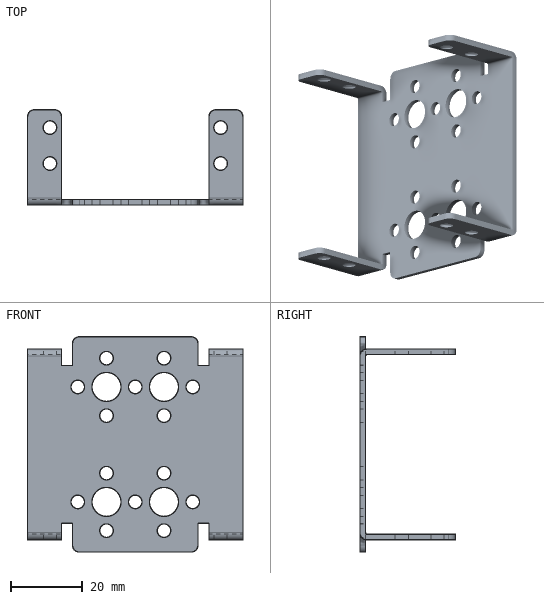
import cadquery as cq

thickness = 1.6
inner_bend_radius = 0.4
outer_bend_radius = inner_bend_radius + thickness
corner_radius = 2.0

plate_width = 60.0
plate_height = 60.0
tongue_width = 35.0

flange_width = 9.5
flange_reach = 26.6
flange_span = 53.16
relief_bottom = 22.0

screw_diameter = 3.7
centre_diameter = 8.0
screw_offset = 8.0
pattern_spacing_x = 16.0
pattern_spacing_z = 32.0

flange_hole_inset = 6.25
flange_hole_end_distance = 5.0
flange_hole_pitch = 10.0


def make_block(start_y, height):
    """Full-width block from start_y to the flange ends."""
    return (
        cq.Workplane("XZ", origin=(0, start_y, 0))
        .rect(plate_width, height)
        .extrude(start_y - flange_reach)
    )


def make_channel():
    """U-shaped channel with rounded bends, over the full plate width."""
    outer = make_block(0, flange_span).edges("|X and <Y").fillet(outer_bend_radius)
    inner = (
        make_block(thickness, flange_span - 2 * thickness)
        .edges("|X and <Y")
        .fillet(inner_bend_radius)
    )
    return outer.cut(inner)


def cut_between_flanges(body):
    """Leave the flanges only at the corners, and clear the bend reliefs."""
    gap_width = plate_width - 2 * flange_width
    clear_height = flange_span / 2 - relief_bottom
    for side in (-1, 1):
        gap = (
            cq.Workplane("XZ")
            .center(0, side * (relief_bottom + clear_height / 2))
            .rect(gap_width, clear_height)
            .extrude(-flange_reach)
        )
        body = body.cut(gap)
    return body


def make_tongue():
    """Flat centre strip that runs past the bends at both ends."""
    return (
        cq.Workplane("XZ")
        .rect(tongue_width, plate_height)
        .extrude(-thickness)
        .edges("|Y")
        .fillet(corner_radius)
    )


def cut_mounting_patterns(body):
    """Cut the four hole patterns; neighbours in X share a screw hole."""
    centres = [
        (side_x * pattern_spacing_x / 2, side_z * pattern_spacing_z / 2)
        for side_x in (-1, 1)
        for side_z in (-1, 1)
    ]
    screws = set()
    for x, z in centres:
        for step_x, step_z in ((1, 0), (-1, 0), (0, 1), (0, -1)):
            screws.add((x + step_x * screw_offset, z + step_z * screw_offset))
    for points, diameter in ((centres, centre_diameter), (sorted(screws), screw_diameter)):
        holes = cq.Workplane("XZ").pushPoints(points).circle(diameter / 2).extrude(-thickness)
        body = body.cut(holes)
    return body


def cut_flange_holes(body):
    """Cut two screw holes through each flange, from top to bottom."""
    hole_x = plate_width / 2 - flange_hole_inset
    outer_hole_y = flange_reach - flange_hole_end_distance
    points = [
        (side * hole_x, hole_y)
        for side in (-1, 1)
        for hole_y in (outer_hole_y, outer_hole_y - flange_hole_pitch)
    ]
    holes = (
        cq.Workplane("XY")
        .pushPoints(points)
        .circle(screw_diameter / 2)
        .extrude(flange_span / 2, both=True)
    )
    return body.cut(holes)


def round_flange_ends(body):
    """Round the two free corners of every flange."""
    return body.edges("|Z and >Y").fillet(corner_radius)


flanged_plate = cut_between_flanges(make_channel())
bracket = round_flange_ends(flanged_plate)
bracket = bracket.union(make_tongue())
bracket = cut_mounting_patterns(bracket)
result = cut_flange_holes(bracket)